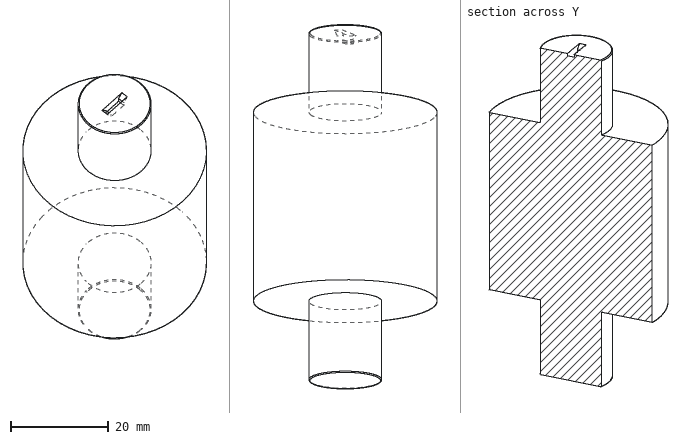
import cadquery as cq

total_length = 73.7
body_diameter = 37.9
body_length = 40.0
pin_diameter = 15.0
pin_edge_chamfer = 0.2

slot_width = 1.5
slot_length = 4.0
slot_depth = 2.0
lead_in_length = 1.0
lead_in_depth = lead_in_length


def make_pin():
    """Pin through the full length, with both end edges broken."""
    pin = cq.Workplane("XY").circle(pin_diameter / 2).extrude(total_length)
    return pin.faces("<Z or >Z").edges().chamfer(pin_edge_chamfer)


def make_body():
    """Large cylinder centred along the pin."""
    body_base = (total_length - body_length) / 2
    return (
        cq.Workplane("XY")
        .workplane(offset=body_base)
        .circle(body_diameter / 2)
        .extrude(body_length)
    )


def make_slot_cutter():
    """Slot profile in the YZ plane: straight end walls that slope outward near the mouth."""
    half_length = slot_length / 2
    half_mouth = half_length + lead_in_length
    floor_height = total_length - slot_depth
    lead_in_height = total_length - lead_in_depth
    return (
        cq.Workplane("YZ")
        .moveTo(-half_mouth, total_length)
        .lineTo(-half_length, lead_in_height)
        .lineTo(-half_length, floor_height)
        .lineTo(half_length, floor_height)
        .lineTo(half_length, lead_in_height)
        .lineTo(half_mouth, total_length)
        .close()
        .extrude(slot_width / 2, both=True)
    )


result = make_body().union(make_pin()).cut(make_slot_cutter())